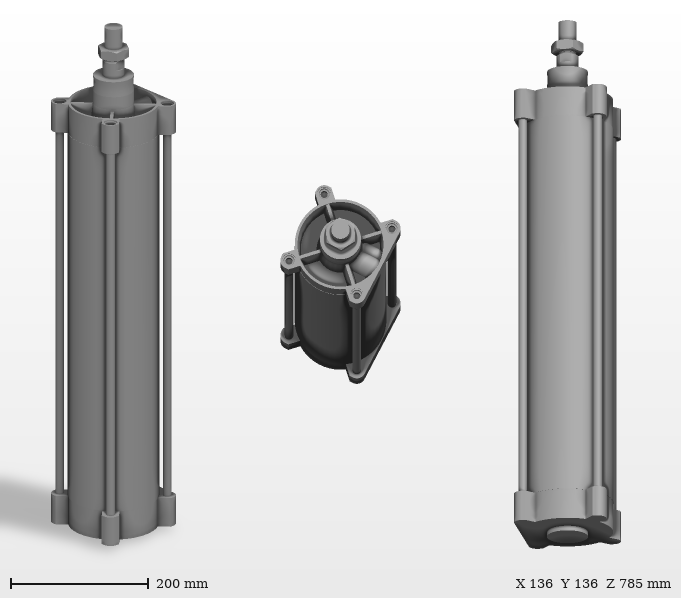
import cadquery as cq
import math

total_height = 785.0
foot_height = 7.0
cap_height = 45.0
barrel_height = 570.0
collar_height = 20.0
neck_height = 23.5
lower_cap_z = foot_height
barrel_z = lower_cap_z + cap_height
upper_cap_z = barrel_z + barrel_height
cap_top_z = upper_cap_z + cap_height
collar_top_z = cap_top_z + collar_height
neck_top_z = collar_top_z + neck_height

cap_width = 136.0
cap_diameter = 133.0
barrel_diameter = 133.5
lug_spacing = 111.0
lug_diameter = cap_width - lug_spacing
collar_diameter = 60.0
waist_sag = 1.0

pocket_depth = 39.0
pocket_diameter = 125.0
pocket_draft = 7.0
rib_top_width = 5.0
rib_drop = 2.0

port_boss_diameter = 32.0
port_boss_x = 7.0
port_boss_drop = cap_height / 2
cushion_boss_diameter = 25.0
cushion_boss_x = -12.0
cushion_boss_drop = 31.5

tie_rod_diameter = 12.5
recess_diameter = 20.0
recess_depth = 2.0
socket_diameter = 16.0
socket_depth = 7.0
screw_hole_diameter = 10.0
screw_hole_depth = 16.0

rod_diameter = 32.0
rod_shoulder_z = 735.5
shoulder_bevel = 2.0
rod_flat_width = 27.5
rod_flat_bottom_z = 721.5
thread_diameter = 27.0
thread_bottom_z = 738.0
undercut_diameter = 25.0

nut_bottom_z = 739.0
nut_height = 15.0
nut_flats = 41.5
nut_bevel_angle = 30.0

z_axis = ((0, 0, 0), (0, 0, 1))


def cylinder(diameter, bottom, top):
    return cq.Workplane("XY").workplane(offset=bottom).circle(diameter / 2).extrude(top - bottom)


def lug_centers():
    half = lug_spacing / 2
    return [(sx * half, sy * half) for sx in (-1, 1) for sy in (-1, 1)]


def cap(bottom):
    """End cap: a disc, four corner lugs on diagonal arms and a flat plate on the +Y side."""
    top = bottom + cap_height
    plane = cq.Workplane("XY").workplane(offset=bottom)
    arm_length = lug_spacing * math.sqrt(2) + 2 * lug_diameter
    arm = plane.rect(arm_length, lug_diameter).extrude(cap_height)
    arms = arm.rotate(*z_axis, 45).union(arm.rotate(*z_axis, -45))
    square = plane.rect(cap_width, cap_width).extrude(cap_height).edges("|Z").fillet(lug_diameter / 2)
    plate = plane.center(0, cap_width / 4).rect(lug_spacing, cap_width / 2).extrude(cap_height)
    blank = cylinder(cap_diameter, bottom, top)
    return blank.union(arms.intersect(square)).union(plate)


def pocket():
    """Ring pocket around the hub, with its ribs and port bosses left standing."""
    plane = cq.Workplane("XY").workplane(offset=cap_top_z)
    floor_z = cap_top_z - pocket_depth
    hollow = plane.circle(pocket_diameter / 2).extrude(-pocket_depth, taper=pocket_draft)
    spread = pocket_depth * math.tan(math.radians(pocket_draft))
    hub = cq.Workplane("XY").workplane(offset=floor_z).circle(collar_diameter / 2 + spread)
    hollow = hollow.cut(hub.extrude(pocket_depth, taper=pocket_draft))
    rib_floor_width = rib_top_width + 2 * spread
    rib_height = pocket_depth - rib_drop
    rib_profile = [
        (-rib_floor_width / 2, 0),
        (rib_floor_width / 2, 0),
        (rib_top_width / 2, rib_height),
        (-rib_top_width / 2, rib_height),
    ]
    for angle in (45, 135):
        rib = cq.Workplane("XZ").polyline(rib_profile).close().extrude(cap_width / 2, both=True)
        hollow = hollow.cut(rib.rotate(*z_axis, angle).translate((0, 0, floor_z)))
    for x, drop, diameter in (
        (port_boss_x, port_boss_drop, port_boss_diameter),
        (cushion_boss_x, cushion_boss_drop, cushion_boss_diameter),
    ):
        boss = cq.Workplane("XZ").center(x, cap_top_z - drop).circle(diameter / 2).extrude(-cap_width / 2)
        hollow = hollow.cut(boss)
    return hollow


def neck():
    """Slightly waisted sleeve above the collar."""
    radius = collar_diameter / 2
    profile = cq.Workplane("XZ").moveTo(0, collar_top_z).lineTo(radius, collar_top_z)
    waist = (radius - waist_sag, (collar_top_z + neck_top_z) / 2)
    profile = profile.threePointArc(waist, (radius, neck_top_z)).lineTo(0, neck_top_z).close()
    return profile.revolve(360, (0, 0, 0), (0, 1, 0))


def make_housing():
    body = cylinder(barrel_diameter, barrel_z, upper_cap_z)
    body = body.union(cap(lower_cap_z)).union(cap(upper_cap_z))
    body = body.cut(pocket())
    body = body.union(cylinder(collar_diameter, 0, lower_cap_z))
    body = body.union(cylinder(collar_diameter, cap_top_z, collar_top_z))
    body = body.union(neck())
    for x, y in lug_centers():
        body = body.union(cylinder(tie_rod_diameter, barrel_z, upper_cap_z).translate((x, y, 0)))
        for diameter, depth in (
            (recess_diameter, recess_depth),
            (socket_diameter, socket_depth),
            (screw_hole_diameter, screw_hole_depth),
        ):
            body = body.cut(cylinder(diameter, cap_top_z - depth, cap_top_z).translate((x, y, 0)))
    return body.cut(cylinder(rod_diameter, upper_cap_z, neck_top_z))


def make_rod():
    rod = cylinder(rod_diameter, upper_cap_z, rod_shoulder_z)
    rod = rod.faces(">Z").chamfer(shoulder_bevel, (rod_diameter - thread_diameter) / 2)
    for side in (-1, 1):
        flat = cq.Workplane("XY").workplane(offset=rod_flat_bottom_z)
        flat = flat.center(side * (rod_flat_width + rod_diameter) / 2, 0).rect(rod_diameter, rod_diameter)
        rod = rod.cut(flat.extrude(rod_shoulder_z - rod_flat_bottom_z))
    rod = rod.union(cylinder(undercut_diameter, rod_shoulder_z, thread_bottom_z))
    return rod.union(cylinder(thread_diameter, thread_bottom_z, total_height))


def make_nut():
    plane = cq.Workplane("XY").workplane(offset=nut_bottom_z)
    corner_diameter = nut_flats / math.cos(math.radians(30))
    hexagon = plane.transformed(rotate=(0, 0, 30)).polygon(6, corner_diameter).extrude(nut_height)
    slope = math.tan(math.radians(nut_bevel_angle))
    bevel_height = (corner_diameter - nut_flats) / 2 * slope
    envelope = cylinder(corner_diameter, nut_bottom_z, nut_bottom_z + nut_height)
    envelope = envelope.faces("<Z or >Z").chamfer(bevel_height, (corner_diameter - nut_flats) / 2)
    nut = hexagon.intersect(envelope)
    return nut.cut(cylinder(thread_diameter, nut_bottom_z, nut_bottom_z + nut_height))


housing = make_housing().solids()
rod = make_rod().solids()
nut = make_nut().solids()
result = cq.Compound.makeCompound([housing.val(), rod.val(), nut.val()])